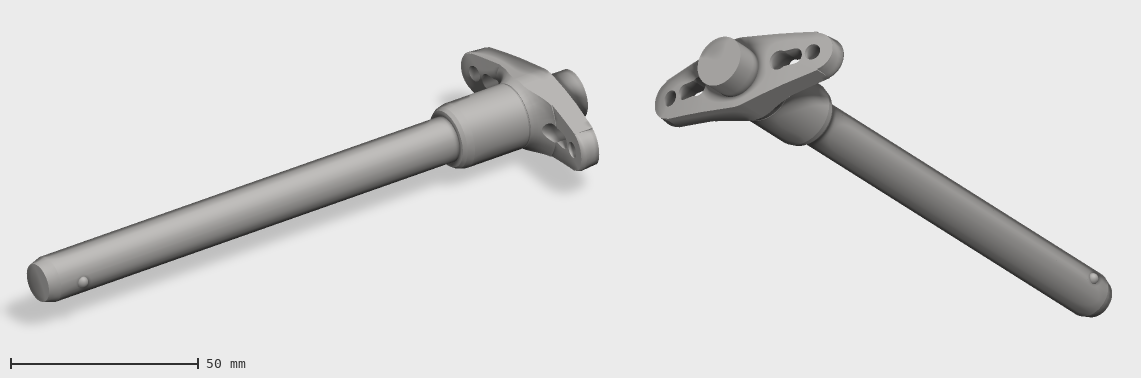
import cadquery as cq
import math

total_length = 171.7

button_radius = 7.0
button_length = 8.0

handle_half_length = 29.5
handle_centre_radius = 10.1
handle_tip_radius = 5.8
handle_tip_x = handle_half_length - handle_tip_radius
back_edge_drop = 3.3
tip_draft = 0.3
front_tip_y = -8.8
front_centre_y = -6.5
tip_rounding = 1.4

end_hole_x = 23.4
end_hole_radius = 2.2
slot_outer_x = 20.3
slot_inner_x = 13.2
slot_half_width = 2.2
slot_inner_radius = 2.7

collar_radius = 9.1
flare_radius = 14.6
flare_start_y = -7.2
flare_mid = (10.1, -9.5)
flare_end_y = -11.7
groove_width = 0.5
groove_depth = 0.2
collar_straight_end_y = -29.5
collar_lip_y = -31.6
collar_lip_radius = 8.5
collar_end_y = -32.6
collar_end_radius = 7.9

shank_radius = 6.4
tip_length = 3.3
tip_end_radius = 5.3
shank_end_y = button_length - total_length
ball_radius = 1.5
ball_reach = 7.7
ball_setback = 10.1
ball_y = shank_end_y + ball_setback

side_sine = (handle_centre_radius - handle_tip_radius) / handle_tip_x
side_cosine = math.sqrt(1 - side_sine**2)


def revolve_about_pin(profile):
    """Revolve a closed XY profile about the Y axis."""
    return profile.close().revolve(360, (0, 0, 0), (0, 1, 0))


def through_handle(x, radius):
    """A cylinder along Y, long enough to pass through the handle."""
    depth = 2 * handle_half_length
    return cq.Workplane("XZ").center(x, 0).circle(radius).extrude(depth, both=True)


def handle_outline():
    """Lozenge made of a centre circle and two tip circles joined by tangent lines."""
    centre_x = handle_centre_radius * side_sine
    centre_z = handle_centre_radius * side_cosine
    tip_x = handle_tip_x + handle_tip_radius * side_sine
    tip_z = handle_tip_radius * side_cosine
    return (
        cq.Workplane("XZ")
        .moveTo(-centre_x, centre_z)
        .threePointArc((0, handle_centre_radius), (centre_x, centre_z))
        .lineTo(tip_x, tip_z)
        .threePointArc((handle_half_length, 0), (tip_x, -tip_z))
        .lineTo(centre_x, -centre_z)
        .threePointArc((0, -handle_centre_radius), (-centre_x, -centre_z))
        .lineTo(-tip_x, -tip_z)
        .threePointArc((-handle_half_length, 0), (-tip_x, tip_z))
        .close()
    )


def make_flare():
    """Concave flare that widens from the collar and ends inside the handle."""
    return revolve_about_pin(
        cq.Workplane("XY")
        .moveTo(0, -back_edge_drop)
        .lineTo(flare_radius, -back_edge_drop)
        .lineTo(flare_radius, flare_start_y)
        .threePointArc(flare_mid, (collar_radius, flare_end_y))
        .lineTo(0, flare_end_y)
    )


def make_tip_cutter():
    """Material removed around the right tip to leave a drafted side and a rounded front edge."""
    sweep = 180 - 2 * math.degrees(math.asin(side_sine))
    outer_radius = 2 * handle_tip_radius
    rounded_start_y = front_tip_y + tip_rounding
    arc_inset = tip_rounding * (1 - math.sqrt(0.5))
    return (
        cq.Workplane("XY")
        .moveTo(handle_tip_radius - tip_draft, -back_edge_drop)
        .lineTo(handle_tip_radius, rounded_start_y)
        .threePointArc(
            (handle_tip_radius - arc_inset, front_tip_y + arc_inset),
            (handle_tip_radius - tip_rounding, front_tip_y),
        )
        .lineTo(handle_tip_radius - tip_rounding, 2 * front_tip_y)
        .lineTo(outer_radius, 2 * front_tip_y)
        .lineTo(outer_radius, button_length)
        .lineTo(handle_tip_radius - tip_draft, button_length)
        .close()
        .revolve(sweep, (0, 0, 0), (0, 1, 0))
        .rotate((0, 0, 0), (0, 1, 0), -sweep / 2)
        .translate((handle_tip_x, 0, 0))
    )


def make_handle():
    """Bowed bar and flare trimmed to the lozenge outline."""
    bow = (
        cq.Workplane("XY")
        .moveTo(-handle_half_length, -back_edge_drop)
        .threePointArc((0, 0), (handle_half_length, -back_edge_drop))
        .lineTo(handle_half_length, front_tip_y)
        .threePointArc((0, front_centre_y), (-handle_half_length, front_tip_y))
        .close()
        .extrude(handle_centre_radius, both=True)
    )
    trim = handle_outline().extrude(-flare_end_y)
    handle = bow.union(make_flare()).intersect(trim)
    cutter = make_tip_cutter()
    return handle.cut(cutter).cut(cutter.mirror("YZ"))


def cut_wing_holes(handle):
    """Round hole and keyhole slot in both wings."""
    slot_end_x = slot_outer_x - slot_half_width
    slot_length = slot_end_x - slot_inner_x
    for side in (-1, 1):
        slot_bar = cq.Workplane("XY").box(slot_length, 2 * handle_half_length, 2 * slot_half_width)
        handle = (
            handle.cut(through_handle(side * end_hole_x, end_hole_radius))
            .cut(through_handle(side * slot_inner_x, slot_inner_radius))
            .cut(through_handle(side * slot_end_x, slot_half_width))
            .cut(slot_bar.translate((side * (slot_end_x + slot_inner_x) / 2, 0, 0)))
        )
    return handle


def make_pin():
    """Button, collar and shank as one turned profile."""
    groove_radius = collar_radius - groove_depth
    return revolve_about_pin(
        cq.Workplane("XY")
        .moveTo(0, button_length)
        .lineTo(button_radius, button_length)
        .lineTo(button_radius, flare_end_y)
        .lineTo(groove_radius, flare_end_y)
        .lineTo(groove_radius, flare_end_y - groove_width)
        .lineTo(collar_radius, flare_end_y - groove_width)
        .lineTo(collar_radius, collar_straight_end_y)
        .lineTo(collar_lip_radius, collar_lip_y)
        .lineTo(collar_end_radius, collar_end_y)
        .lineTo(shank_radius, collar_end_y)
        .lineTo(shank_radius, shank_end_y + tip_length)
        .lineTo(tip_end_radius, shank_end_y)
        .lineTo(0, shank_end_y)
    )


def make_ball(side):
    """Locking ball standing proud of the shank, turned about its own X axis."""
    ball_x = side * (ball_reach - ball_radius)
    return (
        cq.Workplane("XY")
        .moveTo(-ball_radius, 0)
        .threePointArc((0, ball_radius), (ball_radius, 0))
        .close()
        .revolve(360, (0, 0, 0), (1, 0, 0))
        .translate((ball_x, ball_y, 0))
    )


pin = make_pin().rotate((0, 0, 0), (0, 1, 0), 90)
for side in (-1, 1):
    pin = pin.union(make_ball(side))

result = cut_wing_holes(make_handle()).union(pin)